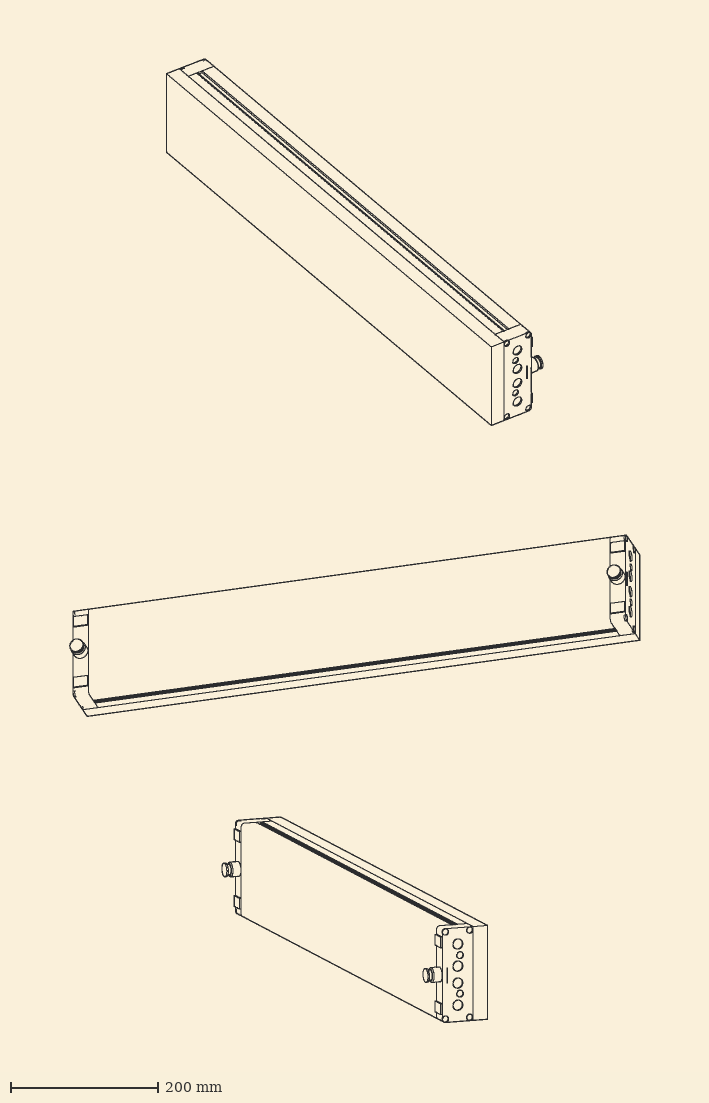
import cadquery as cq

LENGTH = 784.0
HEIGHT = 130.0
DEPTH = 86.0
BODY_DEPTH = 66.0
COVER_DEPTH = 21.0
CAP_LENGTH = 22.0
REAR_EDGE_RADIUS = 5.0

HALF_LENGTH = LENGTH / 2
HALF_HEIGHT = HEIGHT / 2
SIDES = (1, -1)

GROOVE_REAR = 44.0
GROOVE_FRONT = 38.0
GROOVE_DEPTH = 3.0
LEDGE_WIDTH = 2.0
LEDGE_DEPTH = 1.5

RECESS_DEPTH = 2.0
SCREW_DIAMETER = 9.0
SCREW_INSET = 5.0
LARGE_RECESS_DIAMETER = 14.0
LARGE_RECESS_Y = 43.0
LARGE_RECESS_HEIGHTS = (12.0, 42.0)
SMALL_RECESS_DIAMETER = 9.5
SMALL_RECESS_Y = 40.0
SMALL_RECESS_HEIGHT = 27.0
SLIT_Y = 59.0
SLIT_WIDTH = 1.0
SLIT_DEPTH = 1.0

PAD_LENGTH = 20.0
PAD_HEIGHT = 15.0
PAD_THICKNESS = 2.0
PAD_Z = 46.0

GLAND_RADIUS = 10.0
GLAND_INSET = 11.0
GLAND_REAR = 79.0
GLAND_CHAMFER = 1.5
NECK_RADIUS = 7.0
FLANGE_RADIUS = 9.5
FLANGE_THICKNESS = 2.0


def lengthwise_block(x_start, length, y_start, depth):
    """Full-height block spanning the given stretches of X and Y."""
    return cq.Workplane("XY").box(length, depth, HEIGHT, centered=(False, False, True)).translate(
        (x_start, y_start, 0)
    )


def rear_section(x_start, length):
    """Stretch of the body behind the cover, with its long rear edges rounded."""
    block = lengthwise_block(x_start, length, COVER_DEPTH, BODY_DEPTH - COVER_DEPTH)
    return block.faces(">Y").edges("|X").fillet(REAR_EDGE_RADIUS)


def make_cover():
    """Front cover over the whole length of the lamp."""
    return lengthwise_block(-HALF_LENGTH, LENGTH, 0, COVER_DEPTH)


def make_profile():
    """Profile between the end caps, grooved along its top and bottom."""
    length = LENGTH - 2 * CAP_LENGTH
    profile = rear_section(-length / 2, length)
    groove_width = GROOVE_REAR - GROOVE_FRONT
    for side in SIDES:
        groove = cq.Workplane("XY").box(length, groove_width, 2 * GROOVE_DEPTH).translate(
            (0, GROOVE_FRONT + groove_width / 2, side * HALF_HEIGHT)
        )
        ledge = cq.Workplane("XY").box(length, LEDGE_WIDTH, 2 * LEDGE_DEPTH).translate(
            (0, GROOVE_FRONT - LEDGE_WIDTH / 2, side * HALF_HEIGHT)
        )
        profile = profile.cut(groove).cut(ledge)
    return profile


def end_recesses(points, diameter):
    """Round cutters sunk into the left end face at (y, z) points."""
    return (
        cq.Workplane("YZ", origin=(-HALF_LENGTH, 0, 0))
        .pushPoints(points)
        .circle(diameter / 2)
        .extrude(RECESS_DEPTH)
    )


def make_gland():
    """Round gland with a chamfered rear rim, a neck and an end flange, turned about a Y axis."""
    flange_front = DEPTH - FLANGE_THICKNESS
    return (
        cq.Workplane("ZY")
        .moveTo(0, BODY_DEPTH)
        .lineTo(GLAND_RADIUS, BODY_DEPTH)
        .lineTo(GLAND_RADIUS, GLAND_REAR - GLAND_CHAMFER)
        .lineTo(GLAND_RADIUS - GLAND_CHAMFER, GLAND_REAR)
        .lineTo(NECK_RADIUS, GLAND_REAR)
        .lineTo(NECK_RADIUS, flange_front)
        .lineTo(FLANGE_RADIUS, flange_front)
        .lineTo(FLANGE_RADIUS, DEPTH)
        .lineTo(0, DEPTH)
        .close()
        .revolve(360, (0, 0, 0), (0, 1, 0))
    )


def screw_recesses():
    """Four screw recesses, one in each corner of the end face."""
    z = HALF_HEIGHT - SCREW_INSET
    front_y = COVER_DEPTH + SCREW_INSET
    rear_y = BODY_DEPTH - SCREW_INSET
    points = [(y, side * z) for y in (front_y, rear_y) for side in SIDES]
    return end_recesses(points, SCREW_DIAMETER)


def large_recesses():
    points = [(LARGE_RECESS_Y, side * z) for z in LARGE_RECESS_HEIGHTS for side in SIDES]
    return end_recesses(points, LARGE_RECESS_DIAMETER)


def small_recesses():
    points = [(SMALL_RECESS_Y, side * SMALL_RECESS_HEIGHT) for side in SIDES]
    return end_recesses(points, SMALL_RECESS_DIAMETER)


def end_slit():
    """Fine slit cutter across the end face, as long as the gland is wide."""
    slit = cq.Workplane("XY").box(2 * SLIT_DEPTH, SLIT_WIDTH, 2 * GLAND_RADIUS)
    return slit.translate((-HALF_LENGTH, SLIT_Y, 0))


def rear_pad(x, z):
    """Raised rectangular pad on the rear face."""
    pad = cq.Workplane("XY").box(PAD_LENGTH, PAD_THICKNESS, PAD_HEIGHT)
    return pad.translate((x, BODY_DEPTH + PAD_THICKNESS / 2, z))


def make_left_cap():
    """End cap with its recesses, rear pads and one-piece cable gland."""
    cap = rear_section(-HALF_LENGTH, CAP_LENGTH)
    for cutter in (screw_recesses(), large_recesses(), small_recesses(), end_slit()):
        cap = cap.cut(cutter)
    gland_x = -HALF_LENGTH + GLAND_INSET
    for side in SIDES:
        cap = cap.union(rear_pad(gland_x, side * PAD_Z))
    return cap.union(make_gland().translate((gland_x, 0, 0)))


cover = make_cover()
profile = make_profile()
left_cap = make_left_cap()
end_caps = [left_cap, left_cap.mirror("YZ")]

result = cq.Compound.makeCompound(
    [cover.val(), profile.val(), *[cap.val() for cap in end_caps]]
)